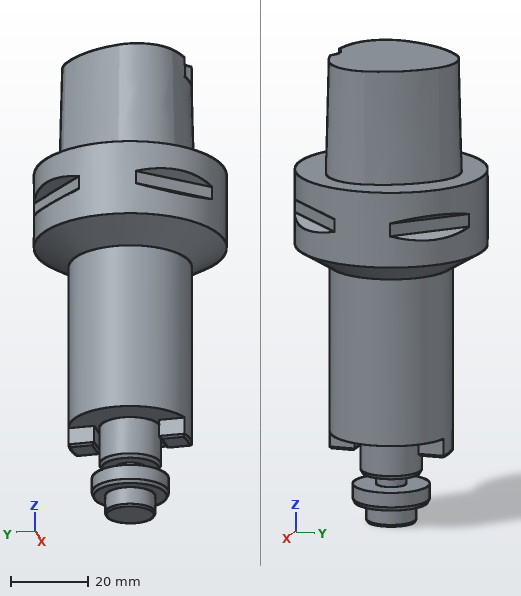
import cadquery as cq
import math

total_height = 124.0
flange_top = 94.0
flange_bottom = 74.0
cone_bottom = 68.6
body_bottom = 24.0
key_bottom = 19.0
pilot_bottom = 13.0
washer_top = 10.0
washer_bottom = 5.2

flange_diameter = 50.0
body_diameter = 32.0
pilot_diameter = 16.0
neck_diameter = 7.8
washer_diameter = 20.0
screw_diameter = 13.0

pilot_chamfer = (0.6, 1.0)
washer_chamfer = (0.5, 1.0)
screw_chamfer = (0.4, 0.6)

key_width = 7.8
key_inner_distance = 8.7
key_chamfer = 0.6

notch_count = 4
notch_flat_distance = 22.2
notch_flat_height = 3.3
notch_slope = math.radians(30)
notch_height = 84.1

lobe_offset = 6.6
lobe_radius = 11.3
side_distance = 15.6
shank_taper = 1.4

mark_radius = 5.0
mark_bottom_depth = 5.3
mark_back_distance = 14.0


def chamfered_end(diameter, bottom, chamfer):
    """Radius-height points of a chamfered lower rim, from the inside out."""
    radial, axial = chamfer
    radius = diameter / 2
    return [(radius - radial, bottom), (radius, bottom + axial)]


def polar(distance, angle):
    return (distance * math.cos(angle), distance * math.sin(angle))


def turned_body():
    outline = [
        (0, 0),
        *chamfered_end(screw_diameter, 0, screw_chamfer),
        (screw_diameter / 2, washer_bottom),
        *chamfered_end(washer_diameter, washer_bottom, washer_chamfer),
        (washer_diameter / 2, washer_top),
        (neck_diameter / 2, washer_top),
        (neck_diameter / 2, pilot_bottom),
        *chamfered_end(pilot_diameter, pilot_bottom, pilot_chamfer),
        (pilot_diameter / 2, body_bottom),
        (body_diameter / 2, body_bottom),
        (body_diameter / 2, cone_bottom),
        (flange_diameter / 2, flange_bottom),
        (flange_diameter / 2, flange_top),
        (0, flange_top),
    ]
    return cq.Workplane("XZ").polyline(outline).close().revolve(360, (0, 0), (0, 1))


def drive_keys():
    """Two opposite keys on the Y axis, flush with the body cylinder."""
    height = body_bottom - key_bottom
    length = body_diameter / 2 - key_inner_distance
    cylinder = cq.Workplane("XY", origin=(0, 0, key_bottom)).circle(body_diameter / 2).extrude(height)
    blocks = (
        cq.Workplane("XY", origin=(0, 0, key_bottom))
        .pushPoints([(0, side * (key_inner_distance + length / 2)) for side in (-1, 1)])
        .rect(key_width, length)
        .extrude(height)
    )
    keys = blocks.intersect(cylinder)
    return keys.faces("<Z").edges().chamfer(key_chamfer)


def lobed_shank():
    """Three lobe arcs joined by three tangent, flatter side arcs."""
    gap = side_distance - lobe_radius
    side_offset = (lobe_offset**2 - gap**2) / (2 * gap - lobe_offset)
    side_radius = side_offset + side_distance
    joint_angle = math.asin(lobe_offset * math.sin(math.radians(60)) / (side_radius - lobe_radius))

    def side_joint(side_direction, turn):
        center_x, center_y = polar(-side_offset, side_direction)
        radial_x, radial_y = polar(side_radius, side_direction + turn)
        return (center_x + radial_x, center_y + radial_y)

    first_side = math.radians(-90)
    outline = cq.Workplane("XY", origin=(0, 0, total_height)).moveTo(*side_joint(first_side, -joint_angle))
    for index in range(3):
        side = first_side + index * math.radians(120)
        lobe = side + math.radians(60)
        next_side = side + math.radians(120)
        outline = outline.threePointArc(polar(side_distance, side), side_joint(side, joint_angle))
        outline = outline.threePointArc(
            polar(lobe_offset + lobe_radius, lobe), side_joint(next_side, -joint_angle)
        )
    return outline.close().extrude(flange_top - total_height, taper=-shank_taper)


def shank_mark():
    return (
        cq.Workplane("XY", origin=(0, -(mark_back_distance + mark_radius), total_height))
        .circle(mark_radius)
        .extrude(-mark_bottom_depth)
    )


def gripper_notch():
    """Wedge-sided straight cut with a flat floor, facing +X."""
    outer = flange_diameter / 2
    floor_half = notch_flat_height / 2
    mouth_half = floor_half + (outer - notch_flat_distance) * math.tan(notch_slope)
    outline = [
        (notch_flat_distance, notch_height - floor_half),
        (outer, notch_height - mouth_half),
        (outer, notch_height + mouth_half),
        (notch_flat_distance, notch_height + floor_half),
    ]
    return cq.Workplane("XZ").polyline(outline).close().extrude(flange_diameter / 2, both=True)


shank = lobed_shank().cut(shank_mark())
result = turned_body().union(drive_keys()).union(shank)
for index in range(notch_count):
    direction = (index + 0.5) * 360 / notch_count
    result = result.cut(gripper_notch().rotate((0, 0, 0), (0, 0, 1), direction))